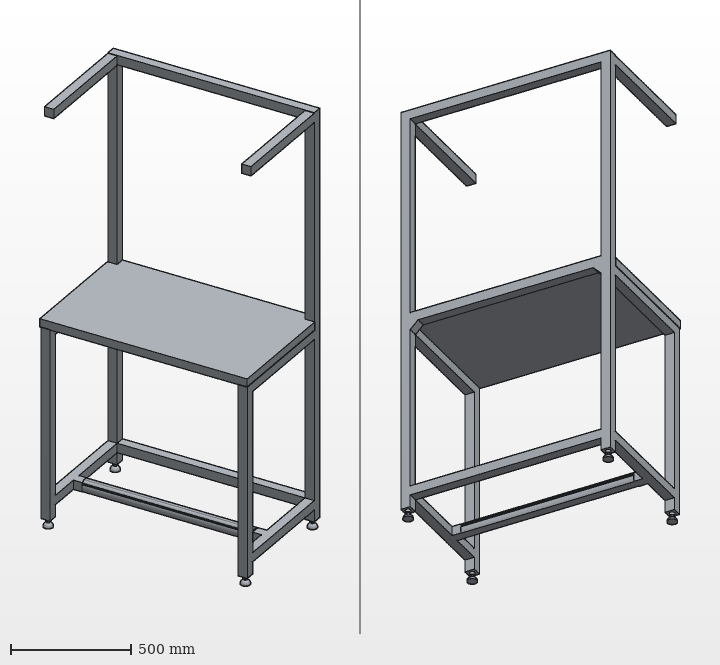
import cadquery as cq

WIDTH = 1000.0
DEPTH = 600.0
HEIGHT = 2000.0

PROFILE = 45.0
SIDE_INSET = 2.5
FRONT_INSET = 5.0

TABLE_HEIGHT = 1000.0
TABLE_THICKNESS = 40.0

STRETCHER_THICKNESS = 8.0

GUSSET_SIZE = 45.0

LEG_BOTTOM = 42.0
RAIL_TOP = 145.0

ARM_DROP = 2.5
ARM_FRONT = 35.0

FOOT_DIAMETER = 45.0
FOOT_RIM_HEIGHT = 3.0
FOOT_DOME_HEIGHT = 20.0
DOME_SHOULDER_RADIUS = 17.0
DOME_SHOULDER_HEIGHT = 15.0
STEM_DIAMETER = 12.0
NUT_DIAMETER = 24.0
NUT_BOTTOM = 30.0

REST_CENTRE_Y = 219.0
BRACKET_LENGTH = 42.0
BAR_BASE_HALF = 20.0
BAR_BULGE_HALF = 25.0
BAR_BULGE_HEIGHT = 20.0
BAR_TOP_HALF = 21.0
BAR_HEIGHT = 34.0
NECK_HALF = 17.0
NECK_HEIGHT = 6.0
TREAD_HALF = 22.0
TREAD_RISE = 12.0
TREAD_SHOULDER_HALF = 17.0
TREAD_SHOULDER_RISE = 8.0
TREAD_FLAT_HALF = 7.0

TABLE_UNDERSIDE = TABLE_HEIGHT - TABLE_THICKNESS
REAR_FACE = DEPTH - PROFILE
INNER_FACE = SIDE_INSET + PROFILE
LEG_REAR = FRONT_INSET + PROFILE
RAIL_BOTTOM = RAIL_TOP - PROFILE
FOOT_X = SIDE_INSET + PROFILE / 2
FRONT_FOOT_Y = FRONT_INSET + PROFILE / 2
REAR_FOOT_Y = DEPTH - PROFILE / 2

SIDE = (SIDE_INSET, INNER_FACE)
BETWEEN_SIDES = (INNER_FACE, WIDTH - INNER_FACE)
FRONT = (FRONT_INSET, LEG_REAR)
BACK = (REAR_FACE, DEPTH)
BETWEEN_LEGS = (LEG_REAR, REAR_FACE)
RAIL_LEVEL = (RAIL_BOTTOM, RAIL_TOP)


def box(x_range, y_range, z_range):
    """Box spanning the given (low, high) ranges along X, Y and Z."""
    spans = (x_range, y_range, z_range)
    size = [high - low for low, high in spans]
    corner = tuple(low for low, high in spans)
    return cq.Workplane("XY").box(*size, centered=False).translate(corner)


def on_both_sides(shape):
    """The shape together with its mirror image about the bench's middle plane."""
    return shape.union(shape.mirror("YZ", (WIDTH / 2, 0, 0)))


def side_frame():
    """Left side: rear post, front leg, table bearer, lower rail and overhead arm."""
    post = box(SIDE, BACK, (LEG_BOTTOM, HEIGHT))
    leg = box(SIDE, FRONT, (LEG_BOTTOM, TABLE_UNDERSIDE))
    bearer = box(SIDE, BETWEEN_LEGS, (TABLE_UNDERSIDE - PROFILE, TABLE_UNDERSIDE))
    rail = box(SIDE, BETWEEN_LEGS, RAIL_LEVEL)
    arm_top = HEIGHT - ARM_DROP
    arm = box(SIDE, (ARM_FRONT, REAR_FACE), (arm_top - PROFILE, arm_top))
    return post.union(leg).union(bearer).union(rail).union(arm)


def gusset():
    """Triangular brace in the corner of the left rear post and the table top."""
    return (
        cq.Workplane("XZ", origin=(INNER_FACE, REAR_FACE, TABLE_UNDERSIDE))
        .lineTo(GUSSET_SIZE, 0)
        .lineTo(0, -GUSSET_SIZE)
        .close()
        .extrude(-PROFILE)
    )


def foot(centre_y):
    """Levelling foot on the left side, centred at the given depth."""
    stem_radius = STEM_DIAMETER / 2
    nut_radius = NUT_DIAMETER / 2
    foot_radius = FOOT_DIAMETER / 2
    outline = (
        cq.Workplane("XZ")
        .lineTo(foot_radius, 0)
        .lineTo(foot_radius, FOOT_RIM_HEIGHT)
        .threePointArc((DOME_SHOULDER_RADIUS, DOME_SHOULDER_HEIGHT), (stem_radius, FOOT_DOME_HEIGHT))
        .lineTo(stem_radius, NUT_BOTTOM)
        .lineTo(nut_radius, NUT_BOTTOM)
        .lineTo(nut_radius, LEG_BOTTOM)
        .lineTo(0, LEG_BOTTOM)
        .close()
    )
    return outline.revolve(360, (0, 0), (0, 1)).translate((FOOT_X, centre_y, 0))


def foot_rest():
    """Cross bar with bulging sides, a necked-in groove and a rounded, flat-topped tread."""
    neck_top = BAR_HEIGHT + NECK_HEIGHT
    shoulder_height = neck_top + TREAD_SHOULDER_RISE
    tread_top = neck_top + TREAD_RISE
    bar_start = INNER_FACE + BRACKET_LENGTH
    bar = (
        cq.Workplane("YZ", origin=(bar_start, REST_CENTRE_Y, RAIL_BOTTOM))
        .moveTo(-BAR_BASE_HALF, 0)
        .lineTo(BAR_BASE_HALF, 0)
        .threePointArc((BAR_BULGE_HALF, BAR_BULGE_HEIGHT), (BAR_TOP_HALF, BAR_HEIGHT))
        .lineTo(NECK_HALF, BAR_HEIGHT)
        .lineTo(NECK_HALF, neck_top)
        .lineTo(TREAD_HALF, neck_top)
        .threePointArc((TREAD_SHOULDER_HALF, shoulder_height), (TREAD_FLAT_HALF, tread_top))
        .lineTo(-TREAD_FLAT_HALF, tread_top)
        .threePointArc((-TREAD_SHOULDER_HALF, shoulder_height), (-TREAD_HALF, neck_top))
        .lineTo(-NECK_HALF, neck_top)
        .lineTo(-NECK_HALF, BAR_HEIGHT)
        .lineTo(-BAR_TOP_HALF, BAR_HEIGHT)
        .threePointArc((-BAR_BULGE_HALF, BAR_BULGE_HEIGHT), (-BAR_BASE_HALF, 0))
        .close()
        .extrude(WIDTH - 2 * bar_start)
    )
    bracket_depth = (REST_CENTRE_Y - PROFILE / 2, REST_CENTRE_Y + PROFILE / 2)
    bracket = box((INNER_FACE, bar_start), bracket_depth, RAIL_LEVEL)
    return bar.union(on_both_sides(bracket))


def table_top():
    """Full-width top that reaches back between the rear posts."""
    table_level = (TABLE_UNDERSIDE, TABLE_HEIGHT)
    return box((0, WIDTH), (0, REAR_FACE), table_level).union(box(BETWEEN_SIDES, BACK, table_level))


def rear_members():
    """Lower rail, stretcher under the table top and beam between the post tops."""
    rail = box(BETWEEN_SIDES, BACK, RAIL_LEVEL)
    stretcher = box(BETWEEN_SIDES, BACK, (TABLE_UNDERSIDE - STRETCHER_THICKNESS, TABLE_UNDERSIDE))
    beam = box(BETWEEN_SIDES, BACK, (HEIGHT - PROFILE, HEIGHT))
    return rail.union(stretcher).union(beam)


left_side = side_frame().union(gusset())
for foot_y in (FRONT_FOOT_Y, REAR_FOOT_Y):
    left_side = left_side.union(foot(foot_y))

result = on_both_sides(left_side).union(table_top()).union(rear_members()).union(foot_rest())